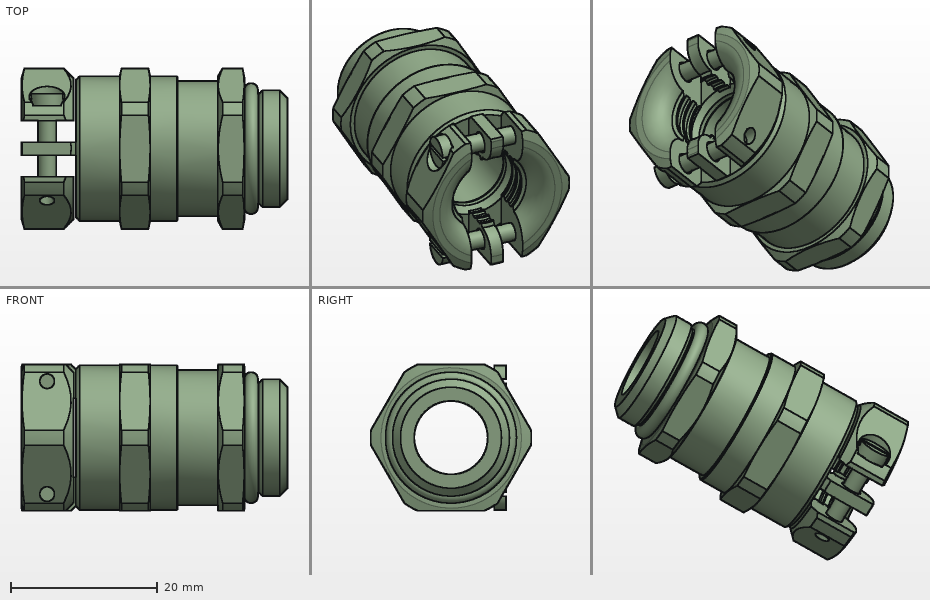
import cadquery as cq
import math

LENGTH = 36.35
HEX_FLATS = 20.0
HEX_CORNER_R = 22.0 / 2

CLAMP_BACK_X = 7.13
CLAMP_FACE_R = 9.67
CLAMP_FRONT_CHAMFER = 0.4
CLAMP_BACK_CONE_X = 5.78
JAW_INNER_Y = 3.8
LUG_THICKNESS = 1.8

FUNNEL_MOUTH_R = 17.27 / 2
FUNNEL_RADIUS = 2.95
TOOTH_TIP_R = 10.3 / 2
TOOTH_ROOT_R = 5.45
TOOTH_COUNT = 3
TOOTH_PITCH = 1.5
TOOTH_FLANK = 0.2
TOOTH_TIP_WIDTH = 0.33

SCREW_X = 3.51
SCREW_Z = 7.7
SHANK_D = 2.5
CLEARANCE_D = 2.9
THREAD_EXIT_D = 2.0
HEAD_D = 4.35
HEAD_RECESS_D = 4.87
HEAD_SEAT_Y = 5.9
HEAD_HEIGHT = 1.65
SCREW_TIP_Y = -5.9
SLOT_WIDTH = 0.55
SLOT_DEPTH = 0.73

HOUSING_FACE_X = 7.45
FLANGE_R = 19.8 / 2
FLANGE_CHAMFER = 0.5
FLANGE_END_X = 21.35
FLANGE_END_CHAMFER = 0.15
MID_HEX_X = 13.4
MID_HEX_END_X = 17.6
MID_HEX_CHAMFER = 0.25
BARREL_R = 9.27
END_HEX_X = 26.85
END_HEX_END_X = 30.5
END_HEX_FRONT_CHAMFER = 0.65
END_HEX_BACK_CHAMFER = 0.3
END_HEX_FRONT_R = 9.9
END_HEX_BACK_R = 9.6
SEAL_OUTER_R = 17.93 / 2
SEAL_X = 31.38
SEAL_SECTION_R = 0.95
NECK_R = 15.0 / 2
SPIGOT_R = 16.0 / 2
SPIGOT_X = 32.95
SPIGOT_END_R = 13.8 / 2
BORE_R = 10.0 / 2
BORE_RELIEF_R = 10.2 / 2
BORE_RELIEF_END_X = 9.1
BORE_MOUTH_R = 12.0 / 2
BORE_MOUTH_ANGLE = 45.0


def revolve_about_x(profile):
    """Turn a closed (x, radius) outline around the X axis."""
    return profile.revolve(360, (0, 0, 0), (1, 0, 0))


def turned(points):
    return revolve_about_x(cq.Workplane("XY").polyline(points).close())


def hex_prism(start_x, end_x):
    """Hexagonal bar along X with flats facing +Z and -Z."""
    corner_diameter = HEX_FLATS / math.cos(math.radians(30))
    return cq.Workplane("YZ", origin=(start_x, 0, 0)).polygon(6, corner_diameter).extrude(end_x - start_x)


def hex_section(start_x, end_x, front_r, front_chamfer, back_r, back_chamfer):
    """Hexagon with turned-down corners and a conical chamfer at each end."""
    envelope = turned([
        (start_x, 0),
        (start_x, front_r),
        (start_x + front_chamfer, HEX_CORNER_R),
        (end_x - back_chamfer, HEX_CORNER_R),
        (end_x, back_r),
        (end_x, 0),
    ])
    return hex_prism(start_x, end_x).intersect(envelope)


def gripping_bore(end_x):
    """Flared mouth followed by ring-shaped teeth, as the volume to remove."""
    throat_x = FUNNEL_RADIUS
    throat_r = FUNNEL_MOUTH_R - FUNNEL_RADIUS
    mid_angle = math.radians(45)
    arc_mid = (
        throat_x - FUNNEL_RADIUS * math.cos(mid_angle),
        throat_r + FUNNEL_RADIUS * (1 - math.sin(mid_angle)),
    )
    profile = (
        cq.Workplane("XY")
        .moveTo(0, 0)
        .lineTo(0, FUNNEL_MOUTH_R)
        .threePointArc(arc_mid, (throat_x, throat_r))
    )
    for i in range(TOOTH_COUNT):
        tip_start = throat_x + TOOTH_FLANK + i * TOOTH_PITCH
        tip_end = tip_start + TOOTH_TIP_WIDTH
        if i > 0:
            profile = profile.lineTo(tip_start - TOOTH_FLANK, TOOTH_ROOT_R)
        profile = profile.lineTo(tip_start, TOOTH_TIP_R).lineTo(tip_end, TOOTH_TIP_R)
        profile = profile.lineTo(tip_end + TOOTH_FLANK, TOOTH_ROOT_R)
    return revolve_about_x(profile.lineTo(end_x, TOOTH_ROOT_R).lineTo(end_x, 0).close())


def clamp_ring(end_x):
    """Full clamp ring from the front face to end_x, before it is divided into jaws and lugs."""
    cone_length = end_x - CLAMP_BACK_CONE_X
    ring = hex_section(0, end_x, CLAMP_FACE_R, CLAMP_FRONT_CHAMFER, HEX_CORNER_R - cone_length, cone_length)
    return ring.cut(gripping_bore(end_x))


def slab(y_min, y_max):
    """Block that keeps only the part of the clamp ring between two Y values."""
    return cq.Workplane("XY").box(LENGTH, y_max - y_min, 2 * HEX_FLATS).translate((0, (y_min + y_max) / 2, 0))


def rod(diameter, y_start, y_end, z):
    """Cylinder parallel to Y on a screw axis."""
    return cq.Workplane("XZ", origin=(SCREW_X, y_start, z)).circle(diameter / 2).extrude(-(y_end - y_start))


def make_housing():
    bore_mouth_length = (BORE_MOUTH_R - BORE_RELIEF_R) / math.tan(math.radians(BORE_MOUTH_ANGLE))
    spigot_step = SPIGOT_R - NECK_R
    end_chamfer = SPIGOT_R - SPIGOT_END_R
    housing = turned([
        (HOUSING_FACE_X, BORE_MOUTH_R),
        (HOUSING_FACE_X, FLANGE_R - FLANGE_CHAMFER),
        (HOUSING_FACE_X + FLANGE_CHAMFER, FLANGE_R),
        (FLANGE_END_X - FLANGE_END_CHAMFER, FLANGE_R),
        (FLANGE_END_X, FLANGE_R - FLANGE_END_CHAMFER),
        (FLANGE_END_X, BARREL_R),
        (END_HEX_X, BARREL_R),
        (END_HEX_X, NECK_R),
        (SPIGOT_X - spigot_step, NECK_R),
        (SPIGOT_X, SPIGOT_R),
        (LENGTH - end_chamfer, SPIGOT_R),
        (LENGTH, SPIGOT_END_R),
        (LENGTH, BORE_R),
        (BORE_RELIEF_END_X, BORE_R),
        (BORE_RELIEF_END_X, BORE_RELIEF_R),
        (HOUSING_FACE_X + bore_mouth_length, BORE_RELIEF_R),
    ])

    bore = cq.Workplane("YZ").circle(BORE_R).extrude(LENGTH)
    mid_hex = hex_section(
        MID_HEX_X, MID_HEX_END_X, FLANGE_R, MID_HEX_CHAMFER, FLANGE_R, MID_HEX_CHAMFER
    )
    end_hex = hex_section(
        END_HEX_X, END_HEX_END_X, END_HEX_FRONT_R, END_HEX_FRONT_CHAMFER, END_HEX_BACK_R, END_HEX_BACK_CHAMFER
    )
    housing = housing.union(mid_hex.cut(bore)).union(end_hex.cut(bore))

    half_chord = math.sqrt(SEAL_SECTION_R**2 - (SEAL_OUTER_R - SEAL_SECTION_R - NECK_R) ** 2)
    seal = revolve_about_x(
        cq.Workplane("XY")
        .moveTo(SEAL_X - half_chord, NECK_R)
        .threePointArc((SEAL_X, SEAL_OUTER_R), (SEAL_X + half_chord, NECK_R))
        .close()
    )
    housing = housing.union(seal)

    lugs = clamp_ring(HOUSING_FACE_X).intersect(slab(-LUG_THICKNESS / 2, LUG_THICKNESS / 2))
    for z in (-SCREW_Z, SCREW_Z):
        lugs = lugs.cut(rod(CLEARANCE_D, -LUG_THICKNESS, LUG_THICKNESS, z))
    return housing.union(lugs)


def make_head_jaw():
    """Jaw on the +Y side, holding the screw heads in recesses."""
    jaw = clamp_ring(CLAMP_BACK_X).intersect(slab(JAW_INNER_Y, HEX_FLATS))
    for z in (-SCREW_Z, SCREW_Z):
        jaw = jaw.cut(rod(CLEARANCE_D, 0, HEX_FLATS, z))
        jaw = jaw.cut(rod(HEAD_RECESS_D, HEAD_SEAT_Y, HEX_FLATS, z))
    return jaw


def make_threaded_jaw():
    """Jaw on the -Y side, holding the screw ends."""
    jaw = clamp_ring(CLAMP_BACK_X).intersect(slab(-HEX_FLATS, -JAW_INNER_Y))
    for z in (-SCREW_Z, SCREW_Z):
        jaw = jaw.cut(rod(SHANK_D, SCREW_TIP_Y, 0, z))
        jaw = jaw.cut(rod(THREAD_EXIT_D, -HEX_FLATS, 0, z))
    return jaw


def make_screw(z):
    """Slotted screw with a cylindrical head on the +Y side."""
    head_end_y = HEAD_SEAT_Y + HEAD_HEIGHT
    shank = rod(SHANK_D, SCREW_TIP_Y, HEAD_SEAT_Y, z)
    head = rod(HEAD_D, HEAD_SEAT_Y, head_end_y, z)
    slot = cq.Workplane("XY").box(2 * HEAD_D, 2 * SLOT_DEPTH, SLOT_WIDTH).translate((SCREW_X, head_end_y, z))
    return shank.union(head.cut(slot))


housing = make_housing()
head_jaw = make_head_jaw()
threaded_jaw = make_threaded_jaw()
screws = [make_screw(z) for z in (-SCREW_Z, SCREW_Z)]

result = cq.Compound.makeCompound([
    housing.val(),
    head_jaw.val(),
    threaded_jaw.val(),
    *[screw.val() for screw in screws],
])